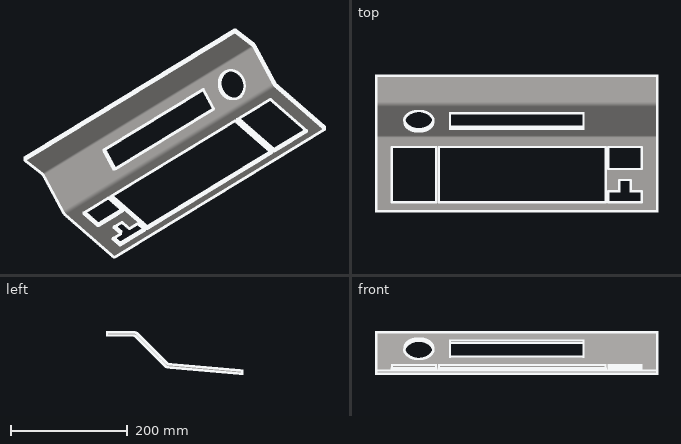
import cadquery as cq
import math

panel_width = 482.63
panel_depth = 232.66
panel_height = 71.85
thickness = 6.0

inner_radius = 5.0
outer_radius = inner_radius + thickness
face_tilt = 45.0
deck_tilt = 5.0
shelf_length = 45.4

key_pitch = 19.05
opening_gap = key_pitch / 4
numpad_columns = 4
main_columns = 15
arrow_columns = 3
key_rows = 5
nav_rows = 2
arrow_rows = 1
up_key_columns = 1
up_key_rows = 2
deck_margin = 15.5

slot_length = 228.6
slot_height = 38.1
dial_diameter = 50.0
dial_center_x = -168.0

face_sin = math.sin(math.radians(face_tilt))
face_cos = math.cos(math.radians(face_tilt))
deck_sin = math.sin(math.radians(deck_tilt))
deck_cos = math.cos(math.radians(deck_tilt))

upper_bend_depth = outer_radius * face_sin
upper_bend_drop = outer_radius * (1 - face_cos)
lower_bend_depth = inner_radius * (face_sin - deck_sin)
lower_bend_drop = inner_radius * (deck_cos - face_cos)

flat_depth = panel_depth - shelf_length - upper_bend_depth - lower_bend_depth
flat_drop = panel_height - upper_bend_drop - lower_bend_drop - thickness * deck_cos
tilt_difference_sin = face_sin * deck_cos - face_cos * deck_sin
face_length = (flat_drop * deck_cos - flat_depth * deck_sin) / tilt_difference_sin
deck_length = (flat_depth * face_sin - flat_drop * face_cos) / tilt_difference_sin

back_y = panel_depth / 2
top_z = panel_height
shelf_end_y = back_y - shelf_length
face_start = (shelf_end_y - upper_bend_depth, top_z - upper_bend_drop)
face_end = (face_start[0] - face_length * face_cos, face_start[1] - face_length * face_sin)
deck_start = (face_end[0] - lower_bend_depth, face_end[1] - lower_bend_drop)
deck_end = (deck_start[0] - deck_length * deck_cos, deck_start[1] - deck_length * deck_sin)

upper_axis = (shelf_end_y, top_z - outer_radius)
lower_axis = (face_end[0] - inner_radius * face_sin, face_end[1] + inner_radius * face_cos)


def upper_bend_point(radius, angle):
    """Point on the upper bend where the sheet has tilted by angle degrees."""
    tilt = math.radians(angle)
    return (upper_axis[0] - radius * math.sin(tilt), upper_axis[1] + radius * math.cos(tilt))


def lower_bend_point(radius, angle):
    """Point on the lower bend where the sheet is tilted by angle degrees."""
    tilt = math.radians(angle)
    return (lower_axis[0] + radius * math.sin(tilt), lower_axis[1] - radius * math.cos(tilt))


def bent_sheet():
    """Sheet profile in the YZ plane, extruded over the full width."""
    mid_bend_angle = (face_tilt + deck_tilt) / 2
    deck_end_below = (deck_end[0] + thickness * deck_sin, deck_end[1] - thickness * deck_cos)
    profile = (
        cq.Workplane("YZ")
        .moveTo(back_y, top_z)
        .lineTo(shelf_end_y, top_z)
        .threePointArc(upper_bend_point(outer_radius, face_tilt / 2), face_start)
        .lineTo(*face_end)
        .threePointArc(lower_bend_point(inner_radius, mid_bend_angle), deck_start)
        .lineTo(*deck_end)
        .lineTo(*deck_end_below)
        .lineTo(*lower_bend_point(outer_radius, deck_tilt))
        .threePointArc(
            lower_bend_point(outer_radius, mid_bend_angle),
            lower_bend_point(outer_radius, face_tilt),
        )
        .lineTo(*upper_bend_point(inner_radius, face_tilt))
        .threePointArc(
            upper_bend_point(inner_radius, face_tilt / 2),
            upper_bend_point(inner_radius, 0),
        )
        .lineTo(back_y, top_z - thickness)
        .close()
    )
    return profile.extrude(panel_width / 2, both=True)


def surface_plane(origin, tilt_sin, tilt_cos):
    """Workplane on an upper surface: local x along X, local y up the slope."""
    return cq.Workplane(
        cq.Plane(origin=(0, *origin), xDir=(1, 0, 0), normal=(0, -tilt_sin, tilt_cos))
    )


def through_cut(sketch):
    """Cutter square to the surface, running through the sheet with equal overrun."""
    return sketch.extrude(2 * thickness, both=True)


def face_openings():
    """Display slot and round dial hole, both halfway down the middle face."""
    face_center = ((face_start[0] + face_end[0]) / 2, (face_start[1] + face_end[1]) / 2)
    plane = surface_plane(face_center, face_sin, face_cos)
    slot = through_cut(plane.rect(slot_length, slot_height))
    dial = through_cut(plane.center(dial_center_x, 0).circle(dial_diameter / 2))
    return slot.union(dial)


def key_opening(left, bottom, columns, rows):
    """Rectangular deck opening for a block of keys, from its lower left corner."""
    plane = surface_plane(deck_end, deck_sin, deck_cos)
    block = plane.center(left, bottom).rect(columns * key_pitch, rows * key_pitch, centered=False)
    return through_cut(block)


def keyboard_openings():
    """Number pad, main block, navigation block and T-shaped arrow cluster, centred across the deck."""
    key_columns = numpad_columns + main_columns + arrow_columns
    numpad_left = -(key_columns * key_pitch + 2 * opening_gap) / 2
    main_left = numpad_left + numpad_columns * key_pitch + opening_gap
    arrow_left = main_left + main_columns * key_pitch + opening_gap
    nav_bottom = deck_margin + (key_rows - nav_rows) * key_pitch

    cutters = key_opening(numpad_left, deck_margin, numpad_columns, key_rows)
    cutters = cutters.union(key_opening(main_left, deck_margin, main_columns, key_rows))
    cutters = cutters.union(key_opening(arrow_left, nav_bottom, arrow_columns, nav_rows))
    cutters = cutters.union(key_opening(arrow_left, deck_margin, arrow_columns, arrow_rows))
    stem_left = arrow_left + (arrow_columns - up_key_columns) * key_pitch / 2
    return cutters.union(key_opening(stem_left, deck_margin, up_key_columns, up_key_rows))


result = bent_sheet().cut(face_openings()).cut(keyboard_openings())